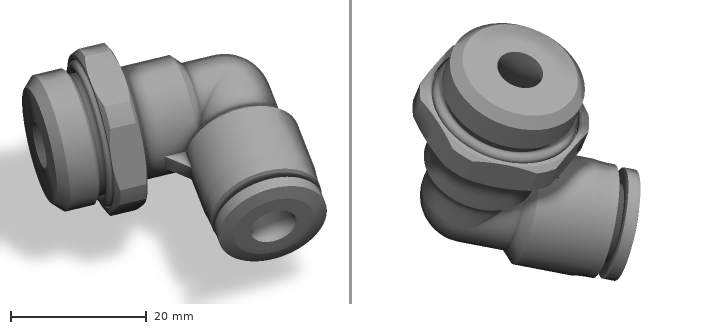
import cadquery as cq
import math


NECK_RADIUS = 7.0
BORE_RADIUS = 3.5

ARM_RADIUS = 8.75
ARM_NECK_END = 6.95
ARM_CONE_LENGTH = ARM_RADIUS - NECK_RADIUS
ARM_TAPER_START = 17.45
ARM_TAPER_END = 19.65
ARM_TIP_RADIUS = 8.55
ARM_END = 21.1
ARM_CHAMFER_LENGTH = 0.23
ARM_CHAMFER_DEPTH = 0.55
COLLAR_RADIUS = 5.95
FLANGE_RADIUS = 8.35
FLANGE_START = 22.3
FLANGE_BEVEL_START = 24.15
FLANGE_END = 24.62
FLANGE_FACE_RADIUS = 6.13

LEG_RADIUS = 8.55
LEG_NECK_END = 5.07
LEG_CONE_END = 6.55
HEX_START = 15.52
HEX_END = 20.6
HEX_FLATS = 24.0
HEX_CORNER_RADIUS = 12.95
HEX_CHAMFER_ANGLE = 30
GROOVE_RADIUS = 9.25
GROOVE_END = 22.0
THREAD_RADIUS = 10.35
THREAD_START = 22.75
THREAD_CHAMFER = 1.5
LEG_END = 28.5

RING_TUBE_RADIUS = 0.95
RING_CENTRE_RADIUS = GROOVE_RADIUS + RING_TUBE_RADIUS
RING_PROTRUSION = 0.7
RING_CENTRE = HEX_END + RING_PROTRUSION - RING_TUBE_RADIUS
RECESS_RADIUS = 11.35
RECESS_FLOOR = RING_CENTRE - RING_TUBE_RADIUS

GUSSET_THICKNESS = 2.8
GUSSET_LEG = 2.95


def revolve_about_x(profile):
    """Revolve (distance along +X, radius) points about the X axis."""
    start, end = profile[0][0], profile[-1][0]
    outline = [(start, 0), *profile, (end, 0)]
    return cq.Workplane("XY").polyline(outline).close().revolve(360, (0, 0, 0), (1, 0, 0))


def revolve_about_y(profile):
    """Revolve (distance along -Y, radius) points about the Y axis."""
    start, end = profile[0][0], profile[-1][0]
    outline = [(0, -start), *[(radius, -distance) for distance, radius in profile], (0, -end)]
    return cq.Workplane("XY").polyline(outline).close().revolve(360, (0, 0, 0), (0, 1, 0))


def mitred_elbow(radius, arm_length, leg_length):
    """Two equal cylinders meeting at the origin, with a spherical outer corner."""
    arm = revolve_about_x([(0, radius), (arm_length, radius)])
    leg = revolve_about_y([(0, radius), (leg_length, radius)])
    return arm.union(leg).union(cq.Workplane("XY").sphere(radius))


def make_arm():
    return revolve_about_x([
        (ARM_NECK_END, NECK_RADIUS),
        (ARM_NECK_END + ARM_CONE_LENGTH, ARM_RADIUS),
        (ARM_TAPER_START, ARM_RADIUS),
        (ARM_TAPER_END, ARM_TIP_RADIUS),
        (ARM_END - ARM_CHAMFER_LENGTH, ARM_TIP_RADIUS),
        (ARM_END, ARM_TIP_RADIUS - ARM_CHAMFER_DEPTH),
        (ARM_END, COLLAR_RADIUS),
        (FLANGE_START, COLLAR_RADIUS),
        (FLANGE_START, FLANGE_RADIUS),
        (FLANGE_BEVEL_START, FLANGE_RADIUS),
        (FLANGE_END, FLANGE_FACE_RADIUS),
    ])


def make_leg():
    return revolve_about_y([
        (LEG_NECK_END, NECK_RADIUS),
        (LEG_CONE_END, LEG_RADIUS),
        (HEX_START, LEG_RADIUS),
        (HEX_START, GROOVE_RADIUS),
        (GROOVE_END, GROOVE_RADIUS),
        (THREAD_START, THREAD_RADIUS),
        (LEG_END - THREAD_CHAMFER, THREAD_RADIUS),
        (LEG_END, THREAD_RADIUS - THREAD_CHAMFER),
    ])


def make_hexagon():
    """Hexagon with rounded corners, chamfered faces and an annular ring recess."""
    flat_radius = HEX_FLATS / 2
    across_corners = HEX_FLATS / math.cos(math.radians(30))
    chamfer = (HEX_CORNER_RADIUS - flat_radius) * math.tan(math.radians(HEX_CHAMFER_ANGLE))
    prism = (
        cq.Workplane("XZ", origin=(0, -HEX_START, 0))
        .polygon(6, across_corners)
        .extrude(HEX_END - HEX_START)
    )
    envelope = revolve_about_y([
        (HEX_START, flat_radius),
        (HEX_START + chamfer, HEX_CORNER_RADIUS),
        (HEX_END - chamfer, HEX_CORNER_RADIUS),
        (HEX_END, flat_radius),
    ])
    recess = (
        cq.Workplane("XZ", origin=(0, -RECESS_FLOOR, 0))
        .circle(RECESS_RADIUS)
        .circle(GROOVE_RADIUS)
        .extrude(HEX_END - RECESS_FLOOR)
    )
    return prism.intersect(envelope).cut(recess)


def make_gusset():
    """Triangular web whose sloping edge joins the leg side to the arm side at 45 degrees."""
    tip_x = LEG_RADIUS + GUSSET_LEG
    tip_y = -ARM_RADIUS - GUSSET_LEG
    inner_x = ARM_NECK_END
    inner_y = -LEG_CONE_END
    slope_offset = tip_x + ARM_RADIUS
    outline = [
        (inner_x, inner_y),
        (slope_offset + inner_y, inner_y),
        (LEG_RADIUS, tip_y),
        (inner_x, tip_y),
    ]
    return cq.Workplane("XY").polyline(outline).close().extrude(GUSSET_THICKNESS / 2, both=True)


def make_fitting():
    outer = mitred_elbow(NECK_RADIUS, ARM_NECK_END, LEG_NECK_END)
    for feature in (make_arm(), make_leg(), make_hexagon(), make_gusset()):
        outer = outer.union(feature)
    return outer.cut(mitred_elbow(BORE_RADIUS, FLANGE_END, LEG_END))


def make_sealing_ring():
    """Round-section ring resting on the recess floor and around the groove."""
    return (
        cq.Workplane("XY")
        .center(RING_CENTRE_RADIUS, -RING_CENTRE)
        .circle(RING_TUBE_RADIUS)
        .revolve(360, (-RING_CENTRE_RADIUS, 0, 0), (-RING_CENTRE_RADIUS, 1, 0))
    )


fitting = make_fitting()
sealing_ring = make_sealing_ring()

result = cq.Compound.makeCompound([fitting.val(), sealing_ring.val()])